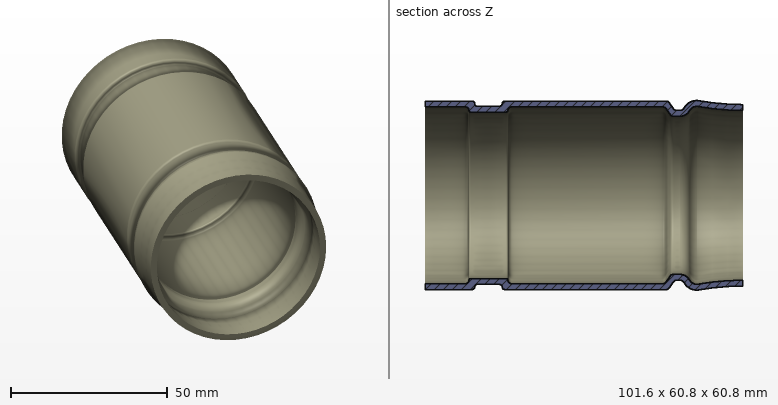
import cadquery as cq
import math


length = 101.6
tube_radius = 60.4 / 2
wall = 2.0

groove_radius = 57.1 / 2
groove_start = 16.1
groove_end = 24.6
groove_lip_fillet = 1.0
groove_root_fillet = tube_radius - groove_radius - groove_lip_fillet

neck_radius = 54.4 / 2
shoulder_start = 77.0
shoulder_angle = math.radians(55)
shoulder_fillet = 1.2

bead_radius = 60.8 / 2
neck_end = 81.4
bead_peak = 86.9
bead_root_fillet = 1.5
bead_rise = bead_radius - neck_radius
bead_run = bead_peak - neck_end
bead_angle = 2 * math.atan(bead_rise / bead_run)
bead_crown_fillet = bead_run / math.sin(bead_angle) - bead_root_fillet

socket_end_radius = 58.1 / 2

RIGHT = 0
UP = math.pi / 2
LEFT = math.pi
DOWN = -math.pi / 2


def arc_to(path, center, radius, start, end):
    """Add an arc around center; angles in radians from the +X axis."""
    points = [
        (center[0] + radius * math.cos(a), center[1] + radius * math.sin(a))
        for a in ((start + end) / 2, end)
    ]
    return path.threePointArc(*points)


def add_groove(path, depth):
    """Add the groove, whose side walls move apart by the depth below the skin."""
    lip = groove_lip_fillet
    root = groove_root_fillet
    start = groove_start - depth
    end = groove_end + depth
    lip_center = tube_radius - depth - lip
    root_center = groove_radius - depth + root
    path = path.lineTo(start - lip, tube_radius - depth)
    path = arc_to(path, (start - lip, lip_center), lip, UP, RIGHT)
    path = arc_to(path, (start + root, root_center), root, LEFT, LEFT + UP)
    path = path.lineTo(end - root, groove_radius - depth)
    path = arc_to(path, (end - root, root_center), root, DOWN, RIGHT)
    return arc_to(path, (end + lip, lip_center), lip, LEFT, UP)


def add_shoulder(path, depth):
    """Add the sloped shoulder, moved along X so that the slope keeps the wall thickness."""
    fillet = shoulder_fillet
    start = shoulder_start - depth * math.tan(shoulder_angle / 2)
    drop = tube_radius - neck_radius
    run = drop / math.tan(shoulder_angle) + 2 * fillet * math.tan(shoulder_angle / 2)
    root = (start + run, neck_radius - depth + fillet)
    slope_end = (
        root[0] - fillet * math.sin(shoulder_angle),
        root[1] - fillet * math.cos(shoulder_angle),
    )
    path = path.lineTo(start, tube_radius - depth)
    path = arc_to(path, (start, tube_radius - depth - fillet), fillet, UP, UP - shoulder_angle)
    path = path.lineTo(*slope_end)
    return arc_to(path, root, fillet, DOWN - shoulder_angle, DOWN)


def add_bead(path, depth):
    """Add the two bead arcs, which keep their centers at every depth."""
    root_center = (neck_end, neck_radius + bead_root_fillet)
    crown_center = (bead_peak, bead_radius - bead_crown_fillet)
    path = path.lineTo(neck_end, neck_radius - depth)
    path = arc_to(path, root_center, bead_root_fillet + depth, DOWN, DOWN + bead_angle)
    return arc_to(path, crown_center, bead_crown_fillet - depth, UP + bead_angle, UP)


def add_socket(path, depth):
    """Add the hollow arc that ends parallel to the axis at the open end."""
    fall = bead_radius - socket_end_radius
    run = length - bead_peak
    arc_radius = (run**2 + fall**2) / (2 * fall)
    center = (length, socket_end_radius - depth + arc_radius)
    sweep = math.asin(run / arc_radius)
    return arc_to(path, center, arc_radius, DOWN - sweep, DOWN)


def solid_of_revolution(depth):
    """Turn the region between the axis and the skin at this depth around X."""
    path = cq.Workplane("XY").moveTo(0, 0).lineTo(0, tube_radius - depth)
    for add_section in (add_groove, add_shoulder, add_bead, add_socket):
        path = add_section(path, depth)
    return path.lineTo(length, 0).close().revolve(360, (0, 0, 0), (1, 0, 0))


outside = solid_of_revolution(0)
bore = solid_of_revolution(wall)
result = outside.cut(bore)